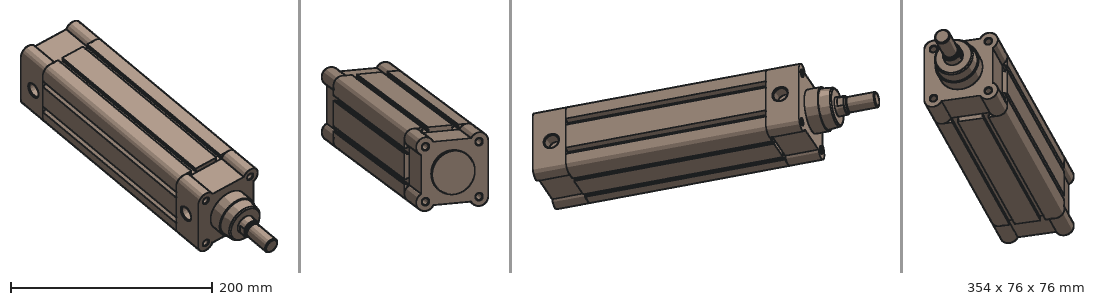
import cadquery as cq
import math


REAR_FACE = 4.0
CAP_LENGTH = 35.0
TOTAL_LENGTH = 354.0
FRONT_FACE = 285.0
BARREL_START = REAR_FACE + CAP_LENGTH
BARREL_END = FRONT_FACE - CAP_LENGTH

WIDTH = 76.0
HALF_WIDTH = WIDTH / 2
CORNER_RADIUS = 9.5
CORNER_CENTRE = HALF_WIDTH - CORNER_RADIUS

CAP_RECESS = 5.3
SCREW_PITCH = 56.5
SCREW_HOLE_DIAMETER = 6.7
SCREW_HOLE_CHAMFER = 0.7
SCREW_HOLE_DEPTH = 17.7
BOSS_DIAMETER = 45.0

PORT_DIAMETER = 14.5
PORT_CHAMFER = 1.0
PORT_DEPTH = 14.0
PORT_INSET = 20.0
PORT_OFFSET = 2.5

COLLAR_LENGTH = 14.0
NOSE_BASE_DIAMETER = 41.8
NOSE_TIP_DIAMETER = 39.5
NOSE_STEP = 1.8
NOSE_LENGTH = 13.0
NOSE_TIP_CHAMFER = 1.5

T_SLOT_OFFSET = 16.0
T_SLOT_OPENING = 5.3
T_SLOT_WIDTH = 7.0
T_SLOT_LIP = 2.5
T_SLOT_DEPTH = CAP_RECESS

GROOVE_OFFSET = 17.0
GROOVE_OPENING = 7.5
GROOVE_FLOOR = 3.2
GROOVE_DEPTH = 5.3

ROD_DIAMETER = 20.0
ROD_CHAMFER = 0.7
FLAT_START = 315.0
FLAT_END = 321.5
FLAT_WIDTH = 17.0
FLAT_SECTION_DIAMETER = 19.5
THREAD_DIAMETER = 16.0
THREAD_START = 323.5
THREAD_START_DROP = 0.7
THREAD_START_TAPER = 1.0
THREAD_END_CHAMFER = 1.0


def along_x(x):
    """Workplane normal to X whose local axes are Y and Z."""
    return cq.Workplane("YZ", origin=(x, 0, 0))


def turned(profile):
    """Solid of revolution about the X axis from (x, radius) points."""
    return cq.Workplane("XY").polyline(profile).close().revolve(360, (0, 0, 0), (1, 0, 0))


def cap_block(start):
    """Rounded block whose top, bottom and +Y sides are recessed between round corner lobes."""
    recessed = HALF_WIDTH - CAP_RECESS
    lobe_reach = math.sqrt(CORNER_RADIUS**2 - (recessed - CORNER_CENTRE) ** 2)
    lobe_edge = CORNER_CENTRE - lobe_reach
    diagonal = CORNER_CENTRE + CORNER_RADIUS * math.sqrt(0.5)
    front_lobe_top = (-CORNER_CENTRE, HALF_WIDTH)
    front_lobe_bottom = (-CORNER_CENTRE, -HALF_WIDTH)
    section = (
        along_x(start)
        .moveTo(-HALF_WIDTH, -CORNER_CENTRE)
        .lineTo(-HALF_WIDTH, CORNER_CENTRE)
        .threePointArc(front_lobe_top, (-lobe_edge, recessed))
        .lineTo(lobe_edge, recessed)
        .threePointArc((diagonal, diagonal), (recessed, lobe_edge))
        .lineTo(recessed, -lobe_edge)
        .threePointArc((diagonal, -diagonal), (lobe_edge, -recessed))
        .lineTo(-lobe_edge, -recessed)
        .threePointArc(front_lobe_bottom, (-HALF_WIDTH, -CORNER_CENTRE))
        .close()
    )
    return section.extrude(CAP_LENGTH)


def chamfered_drill(origin, direction, diameter, chamfer, depth):
    """Cutter for a blind hole with a chamfered mouth."""
    point = cq.Vector(*origin)
    axis = cq.Vector(*direction)
    radius = diameter / 2
    bore = cq.Solid.makeCylinder(radius, depth, point, axis)
    mouth = cq.Solid.makeCone(radius + chamfer, radius, chamfer, point, axis)
    return cq.Workplane(bore.fuse(mouth))


def drill_cap(cap, face, inward, port_offset):
    """Cut the four corner screw holes and the air port; inward is the X sense into the cap."""
    for side in (-1, 1):
        for level in (-1, 1):
            origin = (face, side * SCREW_PITCH / 2, level * SCREW_PITCH / 2)
            cap = cap.cut(chamfered_drill(
                origin, (inward, 0, 0), SCREW_HOLE_DIAMETER, SCREW_HOLE_CHAMFER, SCREW_HOLE_DEPTH
            ))
    port_origin = (face + inward * PORT_INSET, -HALF_WIDTH, port_offset)
    return cap.cut(chamfered_drill(port_origin, (0, 1, 0), PORT_DIAMETER, PORT_CHAMFER, PORT_DEPTH))


def make_rear_cap():
    boss = along_x(0).circle(BOSS_DIAMETER / 2).extrude(REAR_FACE)
    cap = cap_block(REAR_FACE).union(boss)
    return drill_cap(cap, REAR_FACE, 1, -PORT_OFFSET)


def make_front_cap():
    collar_end = FRONT_FACE + COLLAR_LENGTH
    nose_end = collar_end + NOSE_LENGTH
    base_radius = NOSE_BASE_DIAMETER / 2
    tip_radius = NOSE_TIP_DIAMETER / 2
    nose = turned([
        (BARREL_END, 0),
        (BARREL_END, BOSS_DIAMETER / 2),
        (collar_end, BOSS_DIAMETER / 2),
        (collar_end, base_radius),
        (collar_end + NOSE_STEP, base_radius),
        (nose_end - NOSE_TIP_CHAMFER, tip_radius),
        (nose_end, tip_radius - NOSE_TIP_CHAMFER),
        (nose_end, 0),
    ])
    cap = drill_cap(cap_block(BARREL_END).union(nose), FRONT_FACE, -1, PORT_OFFSET)
    rod_bore = along_x(BARREL_END).circle(ROD_DIAMETER / 2).extrude(nose_end - BARREL_END)
    return cap.cut(rod_bore)


def t_slot(offset):
    """T-slot cutter in the top face."""
    mouth = T_SLOT_OPENING / 2
    half = T_SLOT_WIDTH / 2
    lip = HALF_WIDTH - T_SLOT_LIP
    floor = HALF_WIDTH - T_SLOT_DEPTH
    profile = [
        (offset - mouth, HALF_WIDTH),
        (offset - mouth, lip),
        (offset - half, lip),
        (offset - half, floor),
        (offset + half, floor),
        (offset + half, lip),
        (offset + mouth, lip),
        (offset + mouth, HALF_WIDTH),
    ]
    return along_x(BARREL_START).polyline(profile).close().extrude(BARREL_END - BARREL_START)


def tapered_groove(offset):
    """Trapezoidal groove cutter in the -Y face, narrowing towards its floor."""
    floor = GROOVE_DEPTH - HALF_WIDTH
    profile = [
        (-HALF_WIDTH, offset - GROOVE_OPENING / 2),
        (floor, offset - GROOVE_FLOOR / 2),
        (floor, offset + GROOVE_FLOOR / 2),
        (-HALF_WIDTH, offset + GROOVE_OPENING / 2),
    ]
    return along_x(BARREL_START).polyline(profile).close().extrude(BARREL_END - BARREL_START)


def make_barrel():
    barrel = along_x(BARREL_START).rect(WIDTH, WIDTH).extrude(BARREL_END - BARREL_START)
    barrel = barrel.edges("|X").fillet(CORNER_RADIUS)
    for side in (-1, 1):
        for turn in (-90, 0, 180):
            slot = t_slot(side * T_SLOT_OFFSET)
            barrel = barrel.cut(slot.rotate((0, 0, 0), (1, 0, 0), turn))
        barrel = barrel.cut(tapered_groove(side * GROOVE_OFFSET))
    return barrel


def make_rod():
    rod_radius = ROD_DIAMETER / 2
    flat_section_radius = FLAT_SECTION_DIAMETER / 2
    thread_radius = THREAD_DIAMETER / 2
    rod = turned([
        (BARREL_END, 0),
        (BARREL_END, rod_radius),
        (FLAT_START - ROD_CHAMFER, rod_radius),
        (FLAT_START, flat_section_radius),
        (FLAT_END, flat_section_radius),
        (FLAT_END, thread_radius),
        (THREAD_START, thread_radius),
        (THREAD_START, thread_radius - THREAD_START_DROP),
        (THREAD_START + THREAD_START_TAPER, thread_radius),
        (TOTAL_LENGTH - THREAD_END_CHAMFER, thread_radius),
        (TOTAL_LENGTH, thread_radius - THREAD_END_CHAMFER),
        (TOTAL_LENGTH, 0),
    ])
    flat_centre = (FLAT_START + FLAT_END) / 2
    flat_offset = (FLAT_WIDTH + ROD_DIAMETER) / 2
    for side in (-1, 1):
        flat = cq.Workplane("XY").box(FLAT_END - FLAT_START, ROD_DIAMETER, ROD_DIAMETER)
        rod = rod.cut(flat.translate((flat_centre, side * flat_offset, 0)))
    return rod


rear_cap = make_rear_cap()
barrel = make_barrel()
front_cap = make_front_cap()
rod = make_rod()

result = cq.Compound.makeCompound([rear_cap.val(), barrel.val(), front_cap.val(), rod.val()])